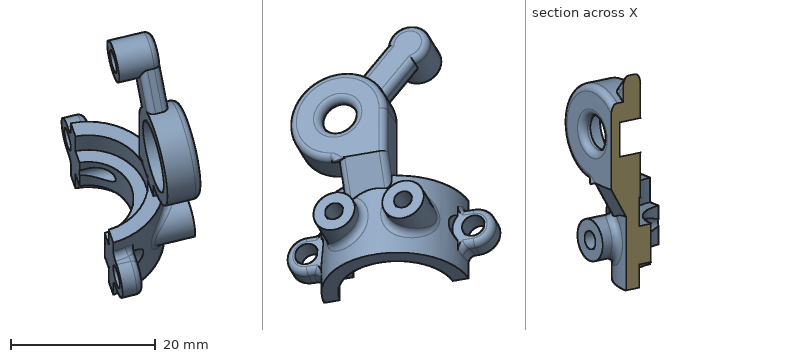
import cadquery as cq
import math

collar_radius = 10.5
collar_height = 12.5
collar_axis_y = -0.5
bore_radius = 6.2
seat_radius = 8.2
lower_seat_top = 3.35
upper_seat_bottom = 8.95
upper_seat_top = 13.0
mid_z = 6.5

ear_x = 12.1
ear_radius = 3.0
ear_depth = 3.0
ear_hole_diameter = 3.25
boss_x = 5.0
boss_radius = 3.0
boss_hole_diameter = 2.6
edge_round = 1.0
tolerance = 0.01

bracket_front_y = 7.5
bracket_back_y = 12.5
eye_x = 4.5
eye_z = 22.0
eye_radius = 7.0
eye_bore_diameter = 5.0
pocket_diameter = 10.25
pocket_depth = 3.5
bracket_foot_z = 8.0
slope_angle = 30.0

socket_x = -5.0
socket_z = 33.0
socket_radius = 3.0
socket_front_y = 4.5
socket_back_y = 10.5
socket_hole_diameter = 3.25
socket_hole_depth = 5.0
arm_width = 5.0


def rod(radius, x, z, y_start, y_end):
    """Cylinder along +Y from y_start to y_end."""
    start = cq.Vector(x, y_start, z)
    direction = cq.Vector(0, 1, 0)
    return cq.Workplane(cq.Solid.makeCylinder(radius, y_end - y_start, start, direction))


def disc(radius, z_bottom, z_top):
    """Cylinder about the collar axis."""
    height = z_top - z_bottom
    return cq.Workplane("XY", origin=(0, collar_axis_y, z_bottom)).circle(radius).extrude(height)


def plate(extents, y_start, y_end):
    """Box from (x_min, z_min, x_max, z_max) between two Y levels."""
    x_min, z_min, x_max, z_max = extents
    corner = (x_min, y_start, z_min)
    box = cq.Workplane("XY").box(x_max - x_min, y_end - y_start, z_max - z_min, centered=False)
    return box.translate(corner)


def box_around(x, y, z, reach_x, reach_y, reach_z):
    """Selector for everything inside a box centred on a point."""
    low = (x - reach_x, y - reach_y, z - reach_z)
    high = (x + reach_x, y + reach_y, z + reach_z)
    return cq.selectors.BoxSelector(low, high, boundingbox=True)


def half_ring():
    """Solid half cylinder, flat on the split plane."""
    front_box = plate((-collar_radius, 0, collar_radius, collar_height), 0, collar_radius)
    return disc(collar_radius, 0, collar_height).intersect(front_box)


def add_ears(body):
    """Join the two screw ears, with a rounded back rim and a blended root no deeper than the ear."""
    z_min = mid_z - ear_radius
    z_max = mid_z + ear_radius
    blended = body
    for side in (-1, 1):
        x_inner, x_outer = sorted((side * boss_x, side * ear_x))
        blended = blended.union(plate((x_inner, z_min, x_outer, z_max), 0, ear_depth))
        blended = blended.union(rod(ear_radius, side * ear_x, mid_z, 0, ear_depth))
        back_face = cq.selectors.NearestToPointSelector((side * ear_x, ear_depth, mid_z))
        blended = blended.faces(back_face).edges("not |Z").fillet(edge_round)
        root_x = side * collar_radius
        root_box = box_around(root_x, ear_depth / 2, mid_z, ear_radius / 2, ear_depth, ear_radius + tolerance)
        blended = blended.edges(root_box).edges("%CIRCLE").fillet(edge_round)
    full_reach = ear_x + ear_radius
    return body.union(blended.intersect(plate((-full_reach, 0, full_reach, collar_height), 0, ear_depth)))


def add_bosses(body):
    """Join the two rear bosses with a blended root."""
    root_y = collar_axis_y + math.sqrt(collar_radius**2 - boss_x**2)
    reach = boss_radius + edge_round / 2
    for side in (-1, 1):
        body = body.union(rod(boss_radius, side * boss_x, mid_z, root_y - boss_radius, bracket_back_y))
        root_box = box_around(side * boss_x, root_y, mid_z, reach, reach, reach)
        body = body.edges(root_box).edges("%BSPLINE").fillet(edge_round)
    return body


def bracket():
    """Eye plate with a bearing pocket; its rounded back slopes in towards the collar at the foot."""
    eye_bottom_z = eye_z - eye_radius
    left_x = eye_x - eye_radius
    middle = eye_radius * math.cos(math.radians(45))
    thickness = bracket_back_y - bracket_front_y
    outline = (
        cq.Workplane("XZ", origin=(0, bracket_back_y, 0))
        .moveTo(left_x, bracket_foot_z)
        .lineTo(left_x, eye_z)
        .threePointArc((eye_x + middle, eye_z + middle), (eye_x, eye_bottom_z))
        .lineTo(eye_x, bracket_foot_z)
        .close()
        .extrude(thickness)
    )
    slope_height = eye_bottom_z - bracket_foot_z
    slope_run = slope_height * math.tan(math.radians(slope_angle))
    wedge = (
        cq.Workplane("YZ", origin=(left_x, 0, 0))
        .moveTo(bracket_back_y, eye_bottom_z)
        .lineTo(bracket_back_y - slope_run, bracket_foot_z)
        .lineTo(bracket_back_y, bracket_foot_z)
        .close()
        .extrude(eye_radius)
    )
    bore = rod(eye_bore_diameter / 2, eye_x, eye_z, bracket_front_y, bracket_back_y)
    pocket = rod(pocket_diameter / 2, eye_x, eye_z, bracket_front_y, bracket_front_y + pocket_depth)
    body = outline.cut(wedge).cut(bore)
    top_z = eye_z + eye_radius
    back_box = box_around(eye_x, bracket_back_y, bracket_foot_z, 2 * eye_radius, slope_run + tolerance, top_z)
    return body.edges(back_box).edges("not |X").fillet(edge_round).cut(pocket)


def socket_and_arm():
    """Pin socket with a rounded back rim, and the rounded arm to the bearing eye."""
    socket = rod(socket_radius, socket_x, socket_z, socket_front_y, socket_back_y)
    socket = socket.faces(">Y").edges().fillet(edge_round)
    run_x = eye_x - socket_x
    run_z = eye_z - socket_z
    length = math.hypot(run_x, run_z) - pocket_diameter / 2
    tilt = -math.degrees(math.atan2(run_z, run_x))
    arm = (
        cq.Workplane("XY")
        .box(length, socket_back_y - bracket_front_y, arm_width, centered=(False, False, True))
        .edges("|X")
        .fillet(edge_round)
        .rotate((0, 0, 0), (0, 1, 0), tilt)
        .translate((socket_x, bracket_front_y, socket_z))
    )
    hole_end_y = socket_front_y + socket_hole_depth
    hole = rod(socket_hole_diameter / 2, socket_x, socket_z, socket_front_y, hole_end_y)
    return socket.union(arm).cut(hole)


def cut_collar(body):
    """Bore, seats and holes of the collar, and the clearance behind each ear."""
    body = body.cut(disc(bore_radius, 0, collar_height))
    body = body.cut(disc(seat_radius, 0, lower_seat_top))
    body = body.cut(disc(seat_radius, upper_seat_bottom, upper_seat_top))
    for side in (-1, 1):
        body = body.cut(rod(boss_hole_diameter / 2, side * boss_x, mid_z, 0, bracket_back_y))
        body = body.cut(rod(ear_hole_diameter / 2, side * ear_x, mid_z, 0, ear_depth))
        body = body.cut(rod(ear_radius, side * ear_x, mid_z, ear_depth, bracket_back_y))
    return body


half_collar = add_bosses(add_ears(half_ring()))
result = cut_collar(half_collar.union(bracket())).union(socket_and_arm())